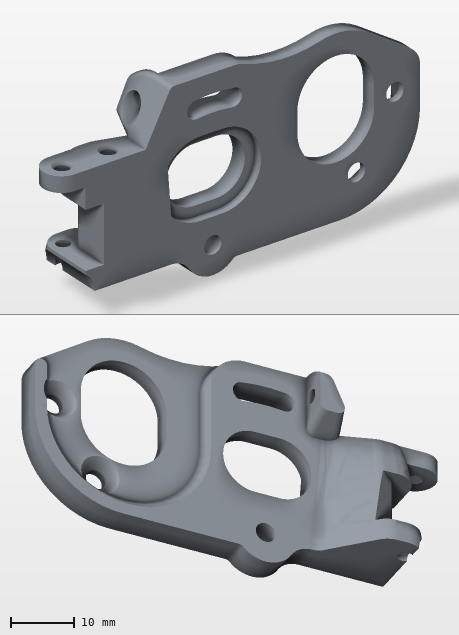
import cadquery as cq
import math


PLATE_THICK = 5.0
TOP_Z = 36.2
BOTTOM_Z = 2.0
BIG_END_Y = 71.0
BIG_RADIUS = 15.5
BIG_Y = 54.5
CROWN_RADIUS = 11.5
CROWN_Z = 24.15
CROWN_SLOPE = 33.3
CORNER_RADIUS = 3.9
DIP_RADIUS = 24.15
DIP_Y = 45.0
SHOULDER_RADIUS = 5.7
SLANT_TOP_Y = 22.35
SLANT_FOOT_Y = 17.4

PIVOT_Y = 30.5
PIVOT_Z = 5.4
PIVOT_RADIUS = PIVOT_Z
PIVOT_BLEND = 4.25
PIVOT_SMALL_BLEND = 1.1

WEB_THICK = 3.0
RECESS_Z = 18.45
RECESS_RADIUS = 14.4
RECESS_DRAFT = 1.0
RECESS_CORNER_Y = 34.2
RIM_END_Z = 26.05
RIM_END_RISE = 0.8
CLEAR = 3.55

BIG_WINDOW_LENGTH = 19.0
BIG_WINDOW_WIDTH = 15.0
BIG_WINDOW_Z = 22.1
SMALL_WINDOW_LENGTH = 15.5
SMALL_WINDOW_WIDTH = 11.15
SMALL_WINDOW_Y = 30.25
SMALL_WINDOW_Z = 18.0
BACK_POCKET_MARGIN = 2.0
BACK_POCKET_DEPTH = 1.6
SCREW_DIAMETER = 3.4
SCREW_HEAD_DIAMETER = 6.75
SCREW_PLACES = [(66.1, 21.5), (58.6, 9.5)]
ARC_SLOT_RADIUS = 25.4
ARC_SLOT_WIDTH = 3.4
ARC_SLOT_CENTER_ANGLE = 89.2
ARC_SLOT_HALF_ANGLE = 8.3

BODY_BOTTOM_Z = 4.5
BODY_KNEE_Z = 6.5
BODY_WAIST_Z = 13.55
BODY_TOP_Z = 26.55
BODY_END_Y = 5.7
BODY_CORNER = 3.8
BODY_SIDE_Y = BODY_END_Y + BODY_CORNER
BODY_SIDE_END_Y = 11.5
BODY_BOTTOM_X = -13.5
BODY_TOP_X = -7.4
ROOT_LEAD = 0.7
BODY_BOTTOM_ROOT_Y = 22.3
BODY_BOTTOM_ROOT_END = (-5.95, 20.4)
BODY_BOTTOM_FLANK_END = (-12.35, 14.2)
BODY_WAIST_ROOT_Y = 21.65
BODY_WAIST_ROOT_END = (-5.7, 20.4)
BODY_WAIST_FLANK_END = (-10.9, 12.9)
BODY_TOP_ROOT_Y = 20.65
BODY_TOP_ROOT_END = (-5.4, 18.6)
BODY_TOP_FLANK_END = (-7.2, 12.7)

BAY_FLOOR_Z = 8.6
BAY_ROOF_Z = 19.5
BAY_WALL_Y = 9.2
BAY_WALL_END_X = -6.4
BAY_BEND_END = (-7.5, 9.8)
BAY_FLARE_SLOPE = 1.2

TAB_RADIUS = 3.55
TAB_THICK = 3.0
TAP_DIAMETER = 2.5
TAP_MOUTH_DIAMETER = 3.4
TAP_X = -3.4
TAP_BLIND_Y = 12.6
TAP_BLIND_DEPTH = 7.1

FOOT_HOLE_X = -9.5
FOOT_HOLE_Y = 8.2
COVE_RADIUS = 4.25
COVE_Y = 3.2

EAR_X = -10.15
EAR_BACK_Y = 23.4
EAR_TIP_TOP_Z = 34.3
EAR_TIP_BOTTOM_Z = 27.55
EAR_ROOT_BOTTOM_Z = 25.4
EAR_BACK_ROUND = 1.3
EAR_FRONT_ROUND = 1.3
EAR_TIP_SETBACK = 0.4
SLANT_CORNER_ROUND = 1.1
CORNER_REACH = 0.9
EAR_TRIM = 0.7
EAR_HOLE_X = -7.0
EAR_HOLE_Z = 31.5
EAR_CONE_Y = 21.0
EAR_CONE_MOUTH_Y = 17.05
EAR_CONE_MOUTH_RADIUS = 4.9


def plane_at_x(x):
    return cq.Workplane("YZ", origin=(x, 0, 0))


def plane_at_z(z):
    return cq.Workplane("XY", origin=(0, 0, z))


def polar(center, radius, degrees):
    angle = math.radians(degrees)
    return (center[0] + radius * math.cos(angle), center[1] + radius * math.sin(angle))


def between(start, end, share):
    return tuple(a + (b - a) * share for a, b in zip(start, end))


def slant_y(z):
    """Y of the slanted plate edge at height z."""
    share = (z - BODY_TOP_Z) / (TOP_Z - BODY_TOP_Z)
    return SLANT_FOOT_Y + (SLANT_TOP_Y - SLANT_FOOT_Y) * share


def pivot_blend(edge_z, radius, side):
    """Start, middle and end of the hollow arc joining a level edge to the pivot lug."""
    reach = PIVOT_RADIUS + radius
    center_z = edge_z - radius
    center = (PIVOT_Y + side * math.sqrt(reach**2 - (PIVOT_Z - center_z) ** 2), center_z)
    to_lug = math.degrees(math.atan2(PIVOT_Z - center_z, PIVOT_Y - center[0]))
    return [polar(center, radius, angle) for angle in (90, (90 + to_lug) / 2, to_lug)]


def make_plate():
    big_center = (BIG_END_Y - BIG_RADIUS, BOTTOM_Z + BIG_RADIUS)
    crown = (BIG_Y, CROWN_Z)
    dip_drop = math.sqrt((CROWN_RADIUS + DIP_RADIUS) ** 2 - (BIG_Y - DIP_Y) ** 2)
    dip = (DIP_Y, CROWN_Z + dip_drop)
    shoulder_z = TOP_Z - SHOULDER_RADIUS
    shoulder_run = math.sqrt((DIP_RADIUS + SHOULDER_RADIUS) ** 2 - (dip[1] - shoulder_z) ** 2)
    shoulder = (DIP_Y - shoulder_run, shoulder_z)
    dip_end = between(dip, shoulder, DIP_RADIUS / (DIP_RADIUS + SHOULDER_RADIUS))
    crown_end = between(crown, dip, CROWN_RADIUS / (CROWN_RADIUS + DIP_RADIUS))
    crown_start = polar(crown, CROWN_RADIUS, 90 - CROWN_SLOPE)

    slope = math.radians(CROWN_SLOPE)
    sharp_z = crown_start[1] - (BIG_END_Y - crown_start[0]) * math.tan(slope)
    setback = CORNER_RADIUS * math.tan((math.pi / 2 - slope) / 2)
    corner_start = (BIG_END_Y, sharp_z - setback)
    corner_center = (BIG_END_Y - CORNER_RADIUS, corner_start[1])
    corner_turn = 90 - CROWN_SLOPE

    near_start, near_mid, near_end = pivot_blend(BODY_BOTTOM_Z, PIVOT_BLEND, -1)
    far_start, far_mid, far_end = pivot_blend(BOTTOM_Z, PIVOT_SMALL_BLEND, 1)
    plate = (
        plane_at_x(-PLATE_THICK)
        .moveTo(big_center[0], BOTTOM_Z)
        .threePointArc(polar(big_center, BIG_RADIUS, -45), (BIG_END_Y, big_center[1]))
        .lineTo(*corner_start)
        .threePointArc(
            polar(corner_center, CORNER_RADIUS, corner_turn / 2),
            polar(corner_center, CORNER_RADIUS, corner_turn),
        )
        .lineTo(*crown_start)
        .threePointArc((BIG_Y, CROWN_Z + CROWN_RADIUS), crown_end)
        .threePointArc((DIP_Y, dip[1] - DIP_RADIUS), dip_end)
        .tangentArcPoint((shoulder[0], TOP_Z), relative=False)
        .lineTo(SLANT_TOP_Y, TOP_Z)
        .lineTo(SLANT_FOOT_Y, BODY_TOP_Z)
        .lineTo(SLANT_FOOT_Y, BODY_BOTTOM_Z)
        .lineTo(*near_start)
        .threePointArc(near_mid, near_end)
        .threePointArc((PIVOT_Y, PIVOT_Z - PIVOT_RADIUS), far_end)
        .threePointArc(far_mid, far_start)
        .close()
        .extrude(PLATE_THICK)
    )
    return round_slant_corner(plate)


def recess_outline(workplane, inset):
    """Edge of the recess, drawn in and lifted by the wall draft."""
    radius = RECESS_RADIUS - inset
    center_z = RECESS_Z + inset
    wall_y = BIG_Y - radius
    rim_y = BIG_Y + radius
    corner_radius = wall_y - RECESS_CORNER_Y
    corner = (RECESS_CORNER_Y, TOP_Z - corner_radius)
    outside_y = BIG_END_Y + CLEAR
    outside_z = TOP_Z + CLEAR
    rim_middle = ((rim_y + BIG_END_Y) / 2, RIM_END_Z + RIM_END_RISE)
    return (
        workplane.moveTo(wall_y, center_z)
        .lineTo(wall_y, corner[1])
        .threePointArc(polar(corner, corner_radius, 45), polar(corner, corner_radius, 90))
        .lineTo(RECESS_CORNER_Y, outside_z)
        .lineTo(outside_y, outside_z)
        .lineTo(outside_y, RIM_END_Z)
        .lineTo(BIG_END_Y, RIM_END_Z)
        .threePointArc(rim_middle, (rim_y, RIM_END_Z))
        .lineTo(rim_y, center_z)
        .threePointArc((BIG_Y, center_z - radius), (wall_y, center_z))
        .close()
    )


def make_recess():
    floor = recess_outline(plane_at_x(-WEB_THICK), RECESS_DRAFT)
    rim_plane = floor.workplane(offset=WEB_THICK - PLATE_THICK, origin=(0, 0, 0))
    return recess_outline(rim_plane, 0).loft(ruled=True)


def make_windows():
    """The two long windows and the pivot hole."""
    big = plane_at_x(-PLATE_THICK).center(BIG_Y, BIG_WINDOW_Z)
    small = plane_at_x(-PLATE_THICK).center(SMALL_WINDOW_Y, SMALL_WINDOW_Z)
    pivot_hole = plane_at_x(-PLATE_THICK).center(PIVOT_Y, PIVOT_Z).circle(SCREW_DIAMETER / 2)
    return (
        pivot_hole.extrude(PLATE_THICK)
        .union(big.slot2D(BIG_WINDOW_LENGTH, BIG_WINDOW_WIDTH, 90).extrude(PLATE_THICK))
        .union(small.slot2D(SMALL_WINDOW_LENGTH, SMALL_WINDOW_WIDTH).extrude(PLATE_THICK))
    )


def make_back_pocket():
    """Shallow pocket around the smaller window, sunk into the flat back."""
    growth = 2 * BACK_POCKET_MARGIN
    pocket = plane_at_x(-BACK_POCKET_DEPTH).center(SMALL_WINDOW_Y, SMALL_WINDOW_Z)
    outline = pocket.slot2D(SMALL_WINDOW_LENGTH + growth, SMALL_WINDOW_WIDTH + growth)
    return outline.extrude(BACK_POCKET_DEPTH)


def make_arc_slot():
    """Slot that follows an arc around the pivot hole."""
    pivot = (PIVOT_Y, PIVOT_Z)
    outer = ARC_SLOT_RADIUS + ARC_SLOT_WIDTH / 2
    inner = ARC_SLOT_RADIUS - ARC_SLOT_WIDTH / 2
    first = ARC_SLOT_CENTER_ANGLE - ARC_SLOT_HALF_ANGLE
    last = ARC_SLOT_CENTER_ANGLE + ARC_SLOT_HALF_ANGLE
    return (
        plane_at_x(-PLATE_THICK)
        .moveTo(*polar(pivot, outer, first))
        .threePointArc(polar(pivot, outer, 90), polar(pivot, outer, last))
        .tangentArcPoint(polar(pivot, inner, last), relative=False)
        .threePointArc(polar(pivot, inner, 90), polar(pivot, inner, first))
        .tangentArcPoint(polar(pivot, outer, first), relative=False)
        .close()
        .extrude(PLATE_THICK)
    )


def make_screw_holes():
    """Countersunk holes in the recess floor, with room for the heads above it."""
    sink_depth = (SCREW_HEAD_DIAMETER - SCREW_DIAMETER) / 2
    shank = plane_at_x(-WEB_THICK).pushPoints(SCREW_PLACES).circle(SCREW_DIAMETER / 2).extrude(WEB_THICK)
    heads = (
        plane_at_x(-PLATE_THICK)
        .pushPoints(SCREW_PLACES)
        .circle(SCREW_HEAD_DIAMETER / 2)
        .extrude(PLATE_THICK - WEB_THICK)
    )
    sinks = (
        plane_at_x(-WEB_THICK)
        .pushPoints(SCREW_PLACES)
        .circle(SCREW_HEAD_DIAMETER / 2)
        .extrude(sink_depth, taper=45)
    )
    return shank.union(heads).union(sinks)


def body_outline(workplane, side_x, root_y, root_end, flank_end):
    """Level section of the body: blend from the plate, flank, side and rounded corner."""
    corner = (side_x + BODY_CORNER, BODY_SIDE_Y)
    return (
        workplane.moveTo(0, root_y + ROOT_LEAD)
        .lineTo(-PLATE_THICK, root_y + ROOT_LEAD)
        .lineTo(-PLATE_THICK, root_y)
        .tangentArcPoint(root_end, relative=False)
        .lineTo(*flank_end)
        .tangentArcPoint((side_x, BODY_SIDE_END_Y), relative=False)
        .lineTo(side_x, BODY_SIDE_Y)
        .threePointArc(polar(corner, BODY_CORNER, 225), (corner[0], BODY_END_Y))
        .lineTo(0, BODY_END_Y)
        .close()
    )


def bottom_outline(workplane):
    return body_outline(
        workplane, BODY_BOTTOM_X, BODY_BOTTOM_ROOT_Y, BODY_BOTTOM_ROOT_END, BODY_BOTTOM_FLANK_END
    )


def waist_outline(workplane):
    share = (BODY_WAIST_Z - BODY_KNEE_Z) / (BODY_TOP_Z - BODY_KNEE_Z)
    side_x = BODY_BOTTOM_X + (BODY_TOP_X - BODY_BOTTOM_X) * share
    return body_outline(
        workplane, side_x, BODY_WAIST_ROOT_Y, BODY_WAIST_ROOT_END, BODY_WAIST_FLANK_END
    )


def top_outline(workplane):
    return body_outline(workplane, BODY_TOP_X, BODY_TOP_ROOT_Y, BODY_TOP_ROOT_END, BODY_TOP_FLANK_END)


def loft_up(low_outline, low_z, high_outline, high_z):
    low = low_outline(plane_at_z(low_z))
    high_plane = low.workplane(offset=high_z - low_z, origin=(0, 0, 0))
    return high_outline(high_plane).loft(ruled=True)


def make_body():
    """Upright sides up to the knee, then sides that lean in to the smaller top."""
    base = bottom_outline(plane_at_z(BODY_BOTTOM_Z)).extrude(BODY_KNEE_Z - BODY_BOTTOM_Z)
    lower = loft_up(bottom_outline, BODY_KNEE_Z, waist_outline, BODY_WAIST_Z)
    upper = loft_up(waist_outline, BODY_WAIST_Z, top_outline, BODY_TOP_Z)
    return base.union(lower).union(upper)


def make_bay():
    """Bay open to -Y, with a flared wall on the -X side."""
    flare_x = BODY_BOTTOM_X - CLEAR
    flare_y = BAY_BEND_END[1] + BAY_FLARE_SLOPE * (BAY_BEND_END[0] - flare_x)
    return (
        plane_at_z(BAY_FLOOR_Z)
        .moveTo(0, 0)
        .lineTo(0, BAY_WALL_Y)
        .lineTo(BAY_WALL_END_X, BAY_WALL_Y)
        .tangentArcPoint(BAY_BEND_END, relative=False)
        .lineTo(flare_x, flare_y)
        .lineTo(flare_x, 0)
        .close()
        .extrude(BAY_ROOF_Z - BAY_FLOOR_Z)
    )


def make_tab():
    return (
        plane_at_z(BODY_TOP_Z - TAB_THICK)
        .moveTo(0, BODY_SIDE_Y)
        .lineTo(0, TAB_RADIUS)
        .threePointArc((-TAB_RADIUS, 0), (-2 * TAB_RADIUS, TAB_RADIUS))
        .lineTo(-2 * TAB_RADIUS, BODY_SIDE_Y)
        .close()
        .extrude(TAB_THICK)
    )


def tapped_hole(y, depth):
    """Hole down from the tab's top, with a countersunk mouth and a drill-point end."""
    radius = TAP_DIAMETER / 2
    mouth_radius = TAP_MOUTH_DIAMETER / 2
    mouth_depth = mouth_radius - radius
    return (
        cq.Workplane("XZ")
        .moveTo(0, 0)
        .lineTo(mouth_radius, 0)
        .lineTo(radius, -mouth_depth)
        .lineTo(radius, -depth)
        .lineTo(0, -depth - radius)
        .close()
        .revolve(360, (0, 0), (0, 1))
        .translate((TAP_X, y, BODY_TOP_Z))
    )


def make_foot_hole():
    height = BAY_FLOOR_Z - BODY_BOTTOM_Z
    hole = plane_at_z(BODY_BOTTOM_Z).center(FOOT_HOLE_X, FOOT_HOLE_Y)
    return hole.circle(TAP_DIAMETER / 2).extrude(height)


def make_cove():
    """Round hollow along the lower front edge of the foot."""
    cove = plane_at_x(BODY_BOTTOM_X).center(COVE_Y, BODY_BOTTOM_Z)
    return cove.circle(COVE_RADIUS).extrude(-BODY_BOTTOM_X)


def ear_outline(workplane, bottom_z, setback):
    """Ear section: straight back, slanted front and rounded bottom corners."""
    top_z = TOP_Z + EAR_TRIM
    slant = math.atan2(SLANT_TOP_Y - SLANT_FOOT_Y, TOP_Z - BODY_TOP_Z)
    front_reach = EAR_FRONT_ROUND / math.tan((math.pi / 2 - slant) / 2)
    round_end_z = bottom_z + front_reach * math.cos(slant)
    round_end = (slant_y(round_end_z) + setback, round_end_z)
    round_start_y = slant_y(bottom_z) + setback + front_reach
    return (
        workplane.moveTo(slant_y(top_z), top_z)
        .lineTo(EAR_BACK_Y, top_z)
        .lineTo(EAR_BACK_Y, bottom_z + EAR_BACK_ROUND)
        .tangentArcPoint((EAR_BACK_Y - EAR_BACK_ROUND, bottom_z), relative=False)
        .lineTo(round_start_y, bottom_z)
        .tangentArcPoint(round_end, relative=False)
        .close()
    )


def round_slant_corner(solid):
    """Round the edge where the top meets the slanted front."""
    low = (EAR_X, SLANT_TOP_Y - CORNER_REACH, EAR_TIP_TOP_Z)
    high = (0, SLANT_TOP_Y + CORNER_REACH, TOP_Z + CORNER_REACH)
    corner = cq.selectors.BoxSelector(low, high)
    return solid.edges(corner).edges("not #X").fillet(SLANT_CORNER_ROUND)


def make_ear():
    tip = ear_outline(plane_at_x(EAR_X), EAR_TIP_BOTTOM_Z, EAR_TIP_SETBACK)
    root_plane = tip.workplane(offset=-PLATE_THICK - EAR_X, origin=(0, 0, 0))
    blank = ear_outline(root_plane, EAR_ROOT_BOTTOM_Z, 0).loft(ruled=True)
    crown_run = -PLATE_THICK - EAR_X
    crown_drop = TOP_Z - EAR_TIP_TOP_Z
    crown_radius = (crown_run**2 + crown_drop**2) / (2 * crown_drop)
    crown_center = (-PLATE_THICK, TOP_Z - crown_radius)
    crown_half_turn = math.degrees(math.asin(crown_run / crown_radius)) / 2
    crown_middle = polar(crown_center, crown_radius, 90 + crown_half_turn)
    crowned = (
        cq.Workplane("XZ")
        .moveTo(-PLATE_THICK, 0)
        .lineTo(-PLATE_THICK, TOP_Z)
        .threePointArc(crown_middle, (EAR_X, EAR_TIP_TOP_Z))
        .lineTo(EAR_X, 0)
        .close()
        .extrude(-BIG_END_Y)
    )
    ear = blank.intersect(crowned)
    return round_slant_corner(ear)


def make_ear_hole():
    """Cross hole opening into a cone that clears the screw from the -Y side."""
    radius = TAP_DIAMETER / 2
    return (
        cq.Workplane("XY")
        .moveTo(0, EAR_BACK_Y)
        .lineTo(radius, EAR_BACK_Y)
        .lineTo(radius, EAR_CONE_Y)
        .lineTo(EAR_CONE_MOUTH_RADIUS, EAR_CONE_MOUTH_Y)
        .lineTo(0, EAR_CONE_MOUTH_Y)
        .close()
        .revolve(360, (0, 0), (0, 1))
        .translate((EAR_HOLE_X, 0, EAR_HOLE_Z))
    )


plate = (
    make_plate()
    .cut(make_recess())
    .cut(make_windows())
    .cut(make_back_pocket())
    .cut(make_arc_slot())
    .cut(make_screw_holes())
)

body = make_body().cut(make_bay()).cut(make_cove()).cut(make_foot_hole())

result = (
    plate.union(body)
    .union(make_tab())
    .union(make_ear())
    .cut(tapped_hole(TAB_RADIUS, TAB_THICK))
    .cut(tapped_hole(TAP_BLIND_Y, TAP_BLIND_DEPTH))
    .cut(make_ear_hole())
)